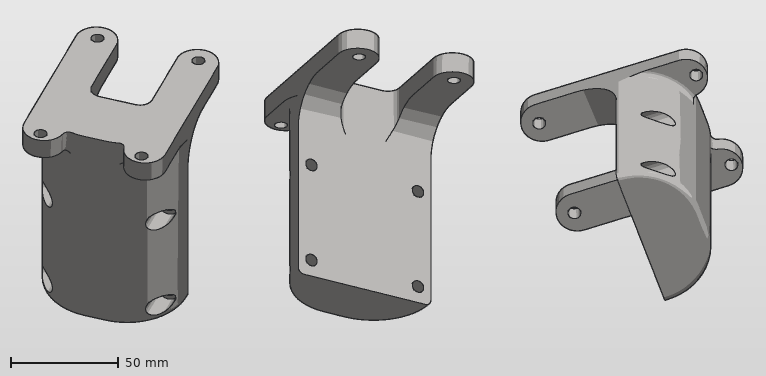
import cadquery as cq
import math

WIDTH = 70.0
LENGTH = 91.0
HEIGHT = 106.9
PLATE_THICKNESS = 10.0
ARM_WIDTH = 20.0
SLOT_CORNER_RADIUS = 6.0
PLATE_HOLE_DIAMETER = 6.0
BACK_HOLE_INSET = 8.5
FRONT_HOLE_INSET = 5.0

COLUMN_DEPTH = 31.0
COLUMN_RADIUS = 29.7
BLEND_RADIUS = 3.0
GUSSET_RADIUS = 20.0

BOLT_HOLE_DIAMETER = 6.0
COUNTERBORE_DIAMETER = 10.0
COUNTERBORE_FLOOR = 8.0
BOLT_SPACING_X = 56.2
BOLT_SPACING_Z = 50.0
LOWER_BOLT_HEIGHT = 8.4

EDGE_PICK_MARGIN = 0.5

half_width = WIDTH / 2
arm_radius = ARM_WIDTH / 2
arm_center_x = half_width - arm_radius
slot_half_width = half_width - ARM_WIDTH
column_front_y = -COLUMN_DEPTH
plate_front_y = column_front_y - arm_radius
plate_back_y = plate_front_y + LENGTH
plate_bottom_z = HEIGHT - PLATE_THICKNESS

arc_center_x = half_width - COLUMN_RADIUS
arc_center_y = column_front_y + COLUMN_RADIUS

ear_root_y = arc_center_y - math.sqrt(COLUMN_RADIUS**2 - (slot_half_width - arc_center_x) ** 2)


def column_outline():
    """D-shaped section: flat back, short straight sides, two front arcs and a flat front."""
    return (
        cq.Workplane("XY")
        .moveTo(-half_width, 0)
        .lineTo(-half_width, arc_center_y)
        .radiusArc((-arc_center_x, column_front_y), -COLUMN_RADIUS)
        .lineTo(arc_center_x, column_front_y)
        .radiusArc((half_width, arc_center_y), -COLUMN_RADIUS)
        .lineTo(half_width, 0)
        .close()
    )


def strip_outline(side):
    """Strip along one side of the plate: arm at the back, ear at the front, both rounded."""
    x_inner = side * slot_half_width
    x_outer = side * half_width
    x_center = side * arm_center_x
    arm_round_y = plate_back_y - arm_radius
    return (
        cq.Workplane("XY")
        .moveTo(x_inner, column_front_y)
        .lineTo(x_inner, arm_round_y)
        .threePointArc((x_center, plate_back_y), (x_outer, arm_round_y))
        .lineTo(x_outer, column_front_y)
        .threePointArc((x_center, plate_front_y), (x_inner, column_front_y))
        .close()
    )


def fillet_upright_edges(solid, y, radius):
    """Round the vertical edges lying at the given Y."""
    slab = cq.selectors.BoxSelector(
        (-WIDTH, y - EDGE_PICK_MARGIN, -HEIGHT),
        (WIDTH, y + EDGE_PICK_MARGIN, HEIGHT),
    )
    return solid.edges("|Z").edges(slab).fillet(radius)


def plate_prism():
    """Plate outline extruded over the full height, to trim everything under the plate."""
    prism = column_outline().extrude(HEIGHT)
    for side in (-1, 1):
        prism = prism.union(strip_outline(side).extrude(HEIGHT))
    prism = fillet_upright_edges(prism, 0, SLOT_CORNER_RADIUS)
    return fillet_upright_edges(prism, ear_root_y, BLEND_RADIUS)


def plate(prism):
    """Top slice of the prism."""
    underside = cq.Workplane("XY", origin=(0, 0, plate_bottom_z))
    return prism.copyWorkplane(underside).split(keepTop=True)


def column():
    """Column whose bottom edge is rounded everywhere but along the flat back."""
    body = column_outline().extrude(HEIGHT)
    return body.faces("<Z").edges("not(>Y)").fillet(BLEND_RADIUS)


def blend_profile(plane, wall, radius):
    """Fillet section between a vertical wall and the plate's underside."""
    arc_offset = radius * (1 - math.sqrt(0.5))
    return (
        cq.Workplane(plane)
        .moveTo(wall, plate_bottom_z)
        .lineTo(wall + radius, plate_bottom_z)
        .threePointArc(
            (wall + arc_offset, plate_bottom_z - arc_offset),
            (wall, plate_bottom_z - radius),
        )
        .close()
    )


def ear_blend():
    """Fillet under the right ear, swept around the column's right front arc."""
    ring = blend_profile("XZ", half_width, BLEND_RADIUS).revolve(
        90, (arc_center_x, 0, 0), (arc_center_x, -1, 0)
    )
    return ring.translate((0, arc_center_y, 0))


def underside_blends(prism):
    """Gussets behind the column and fillets under the ears, trimmed to the plate outline."""
    gusset = blend_profile("YZ", 0, GUSSET_RADIUS).extrude(half_width, both=True)
    right_blend = ear_blend()
    left_blend = right_blend.mirror("YZ")
    return gusset.union(right_blend).union(left_blend).intersect(prism)


def plate_hole(x, y):
    return (
        cq.Workplane("XY", origin=(x, y, plate_bottom_z))
        .circle(PLATE_HOLE_DIAMETER / 2)
        .extrude(PLATE_THICKNESS)
    )


def bolt_hole(x, z):
    """Through hole from the flat back, with a counterbore open to the front."""
    hole = (
        cq.Workplane("XZ", origin=(x, 0, z))
        .circle(BOLT_HOLE_DIAMETER / 2)
        .extrude(COLUMN_DEPTH)
    )
    counterbore = (
        cq.Workplane("XZ", origin=(x, -COUNTERBORE_FLOOR, z))
        .circle(COUNTERBORE_DIAMETER / 2)
        .extrude(COLUMN_DEPTH - COUNTERBORE_FLOOR)
    )
    return hole.union(counterbore)


outline_prism = plate_prism()
result = plate(outline_prism).union(column()).union(underside_blends(outline_prism))

for side in (-1, 1):
    for hole_y in (plate_back_y - BACK_HOLE_INSET, plate_front_y + FRONT_HOLE_INSET):
        result = result.cut(plate_hole(side * arm_center_x, hole_y))
    for hole_z in (LOWER_BOLT_HEIGHT, LOWER_BOLT_HEIGHT + BOLT_SPACING_Z):
        result = result.cut(bolt_hole(side * BOLT_SPACING_X / 2, hole_z))